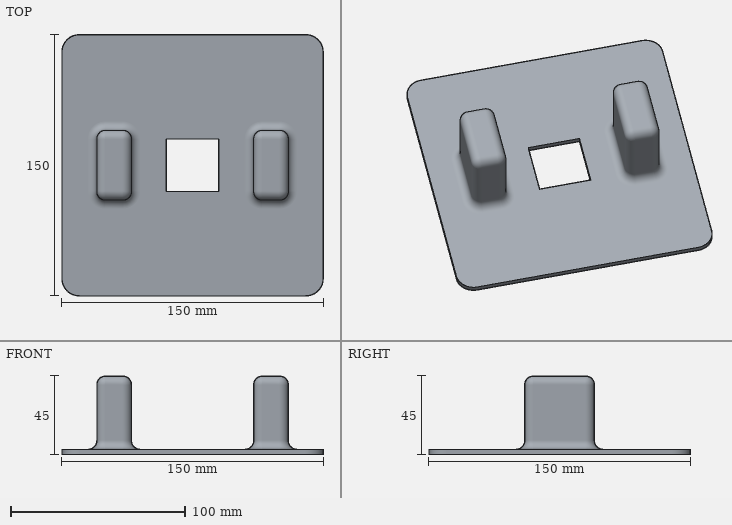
import cadquery as cq

plate_side = 150.0
plate_thickness = 3.0
plate_corner_radius = 10.0
window_side = 30.0

total_height = 45.0
post_width = 20.0
post_length = 40.0
post_spacing = 90.0
post_radius = 5.0

post_height = total_height - plate_thickness


def make_plate():
    """Thin square plate with rounded corners and a square window."""
    plate = (
        cq.Workplane("XY")
        .box(plate_side, plate_side, plate_thickness, centered=(True, True, False))
        .edges("|Z")
        .fillet(plate_corner_radius)
    )
    return plate.faces(">Z").workplane().rect(window_side, window_side).cutThruAll()


def make_post(x_center):
    """Rounded upright post standing on the plate."""
    return (
        cq.Workplane("XY", origin=(x_center, 0, plate_thickness))
        .box(post_width, post_length, post_height, centered=(True, True, False))
        .edges("|Z")
        .fillet(post_radius)
        .faces(">Z")
        .edges()
        .fillet(post_radius)
    )


result = make_plate()
for side in (-1, 1):
    post_x = side * post_spacing / 2
    result = result.union(make_post(post_x))

    root_box = cq.selectors.BoxSelector(
        (post_x - post_width, -post_length, plate_thickness / 2),
        (post_x + post_width, post_length, plate_thickness + post_radius / 2),
    )
    result = result.edges(root_box).fillet(post_radius)